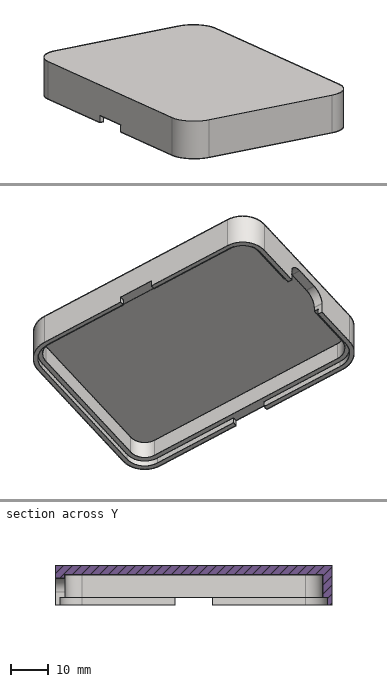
import cadquery as cq

length = 73.0
width = 53.0
height = 10.45
corner_radius = 7.0

wall = 2.5
roof = wall
lip_thickness = wall / 2
lip_height = 2.0

side_notch_width = 9.85
side_notch_height = lip_height
end_opening_width = 13.8
end_opening_height = 7.0
end_opening_radius = 3.6


def rounded_block(inset, block_height):
    """Outer outline moved inward by inset and extruded up from the rim plane."""
    return (
        cq.Workplane("XY")
        .rect(length - 2 * inset, width - 2 * inset)
        .extrude(block_height)
        .edges("|Z")
        .fillet(corner_radius - inset)
    )


body = rounded_block(0, height)
cavity = rounded_block(wall, height - roof)
lip_recess = rounded_block(lip_thickness, lip_height)

side_notches = cq.Workplane("XY").box(
    side_notch_width, width, side_notch_height, centered=(True, True, False)
)

end_opening = (
    cq.Workplane("XY")
    .box(wall, end_opening_width, end_opening_height, centered=(False, True, False))
    .edges("|X and >Z")
    .fillet(end_opening_radius)
    .translate((-length / 2, 0, 0))
)

result = body.cut(cavity).cut(lip_recess).cut(side_notches).cut(end_opening)